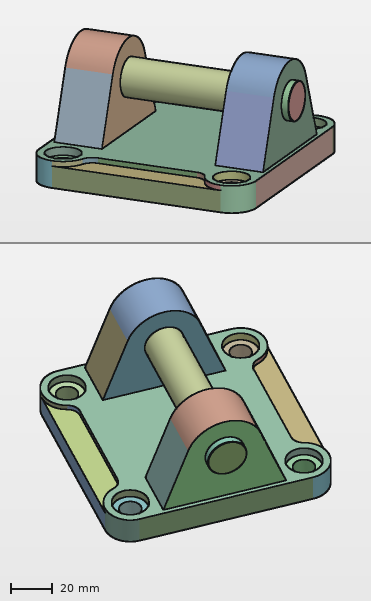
import cadquery as cq
import math

PLATE_SIDE = 115.0
PLATE_THICKNESS = 13.9
CORNER_RADIUS = 13.0
HOLE_OFFSET = PLATE_SIDE / 2 - CORNER_RADIUS
HOLE_DIAMETER = 11.0
COUNTERBORE_DIAMETER = 18.0
COUNTERBORE_DEPTH = 4.2

STEP_DEPTH = 2.7
STEP_BLEND_RADIUS = 6.5

TOTAL_HEIGHT = 61.0
LUG_GAP = 60.0
LUG_THICKNESS = 25.3
LUG_RADIUS = 20.1
LUG_BASE_HALF_WIDTH = 31.5
PIN_HEIGHT = TOTAL_HEIGHT - LUG_RADIUS
PIN_DIAMETER = 20.0
PIN_LENGTH = 118.0
PIN_CHAMFER = 0.2


def make_plate():
    """Square plate with rounded corners and four counterbored holes."""
    plate = cq.Workplane("XY").rect(PLATE_SIDE, PLATE_SIDE).extrude(PLATE_THICKNESS)
    plate = plate.edges("|Z").fillet(CORNER_RADIUS)
    return (
        plate.faces(">Z").workplane()
        .rect(2 * HOLE_OFFSET, 2 * HOLE_OFFSET, forConstruction=True)
        .vertices()
        .cboreHole(HOLE_DIAMETER, COUNTERBORE_DIAMETER, COUNTERBORE_DEPTH)
    )


def make_step():
    """Cutter for the +Y edge: curls round each corner pad, then blends into a straight inner edge."""
    outer_y = PLATE_SIDE / 2
    inner_y = HOLE_OFFSET
    center_distance = CORNER_RADIUS + STEP_BLEND_RADIUS
    blend_dx = math.sqrt(center_distance**2 - STEP_BLEND_RADIUS**2)
    blend_x = HOLE_OFFSET - blend_dx
    blend_y = inner_y + STEP_BLEND_RADIUS
    pad_angle = math.asin(STEP_BLEND_RADIUS / center_distance)
    touch_x = HOLE_OFFSET - CORNER_RADIUS * math.cos(pad_angle)
    touch_y = inner_y + CORNER_RADIUS * math.sin(pad_angle)
    mid_angle = (pad_angle + math.pi / 2) / 2
    pad_mid_x = HOLE_OFFSET - CORNER_RADIUS * math.cos(mid_angle)
    pad_mid_y = inner_y + CORNER_RADIUS * math.sin(mid_angle)
    blend_mid_x = blend_x + STEP_BLEND_RADIUS * math.cos(mid_angle)
    blend_mid_y = blend_y - STEP_BLEND_RADIUS * math.sin(mid_angle)
    return (
        cq.Workplane("XY", origin=(0, 0, PLATE_THICKNESS - STEP_DEPTH))
        .moveTo(-HOLE_OFFSET, outer_y)
        .threePointArc((-pad_mid_x, pad_mid_y), (-touch_x, touch_y))
        .threePointArc((-blend_mid_x, blend_mid_y), (-blend_x, inner_y))
        .lineTo(blend_x, inner_y)
        .threePointArc((blend_mid_x, blend_mid_y), (touch_x, touch_y))
        .threePointArc((pad_mid_x, pad_mid_y), (HOLE_OFFSET, outer_y))
        .close()
        .extrude(STEP_DEPTH)
    )


def make_lug(start_x):
    """Tapered lug whose straight flanks run tangent into a round top."""
    rise = PIN_HEIGHT - PLATE_THICKNESS
    base_distance = math.hypot(LUG_BASE_HALF_WIDTH, rise)
    tangent_angle = math.acos(LUG_RADIUS / base_distance) - math.atan2(rise, LUG_BASE_HALF_WIDTH)
    tangent_y = LUG_RADIUS * math.cos(tangent_angle)
    tangent_z = PIN_HEIGHT + LUG_RADIUS * math.sin(tangent_angle)
    return (
        cq.Workplane("YZ", origin=(start_x, 0, 0))
        .moveTo(-LUG_BASE_HALF_WIDTH, PLATE_THICKNESS)
        .lineTo(LUG_BASE_HALF_WIDTH, PLATE_THICKNESS)
        .lineTo(tangent_y, tangent_z)
        .threePointArc((0, TOTAL_HEIGHT), (-tangent_y, tangent_z))
        .close()
        .extrude(LUG_THICKNESS)
    )


def make_pin():
    """Round pin through both lugs, with a fine chamfer on each end."""
    pin = cq.Workplane("YZ", origin=(-PIN_LENGTH / 2, 0, PIN_HEIGHT))
    pin = pin.circle(PIN_DIAMETER / 2).extrude(PIN_LENGTH)
    return pin.faces("<X or >X").chamfer(PIN_CHAMFER)


step = make_step()
result = make_plate().cut(step).cut(step.mirror("XZ"))
for lug_start in (-LUG_GAP / 2 - LUG_THICKNESS, LUG_GAP / 2):
    result = result.union(make_lug(lug_start))
result = result.union(make_pin())